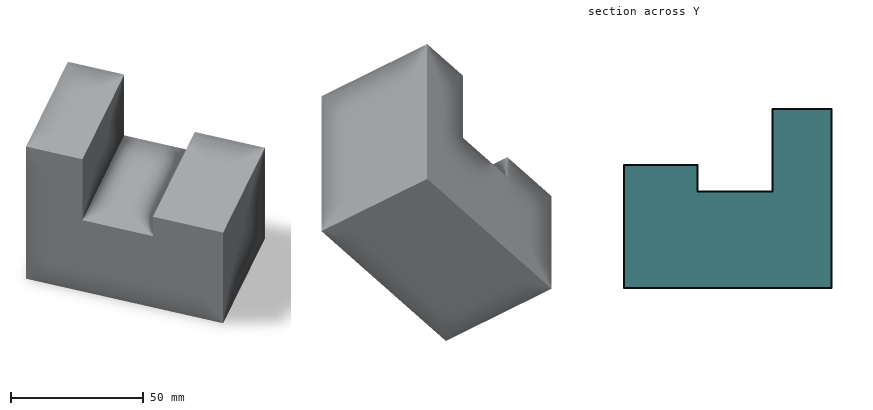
import cadquery as cq

length = 78.67
depth = 50.0
tall_height = 67.99

tall_width = 22.5
channel_width = 28.17
floor_height = 36.66
short_height = 46.66

left = -length / 2
right = length / 2
channel_left = left + tall_width
channel_right = channel_left + channel_width


def stepped_block():
    """Block with a tall wall, a channel and a shorter wall, extruded along Y."""
    profile = (
        cq.Workplane("XZ")
        .moveTo(left, 0)
        .lineTo(right, 0)
        .lineTo(right, short_height)
        .lineTo(channel_right, short_height)
        .lineTo(channel_right, floor_height)
        .lineTo(channel_left, floor_height)
        .lineTo(channel_left, tall_height)
        .lineTo(left, tall_height)
        .close()
    )
    return profile.extrude(depth / 2, both=True)


result = stepped_block()